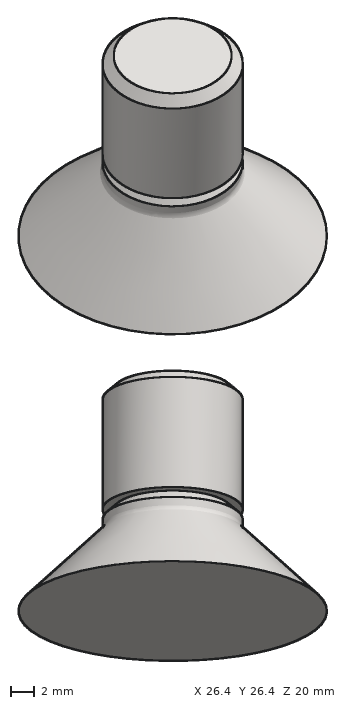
import cadquery as cq

foot_radius = 13.2
foot_height = 7.23
blend_radius = 0.6

shank_diameter = 12.0
shank_radius = shank_diameter / 2
total_height = 20.0
tip_radius = 5.05
bevel_height = 0.9
notch_top = 9.15
notch_bottom = notch_top - bevel_height

profile = (
    cq.Workplane("XZ")
    .lineTo(foot_radius, 0)
    .lineTo(shank_radius, foot_height)
    .lineTo(shank_radius, notch_bottom)
    .lineTo(tip_radius, notch_top)
    .lineTo(shank_radius, notch_top)
    .lineTo(shank_radius, total_height - bevel_height)
    .lineTo(tip_radius, total_height)
    .lineTo(0, total_height)
    .close()
)
body = profile.revolve(360, (0, 0, 0), (0, 1, 0))

corner_margin = 0.03
corner_selector = cq.selectors.BoxSelector(
    (-foot_radius, -foot_radius, foot_height - corner_margin),
    (foot_radius, foot_radius, foot_height + corner_margin),
    boundingbox=True,
)
result = body.edges(corner_selector).fillet(blend_radius)